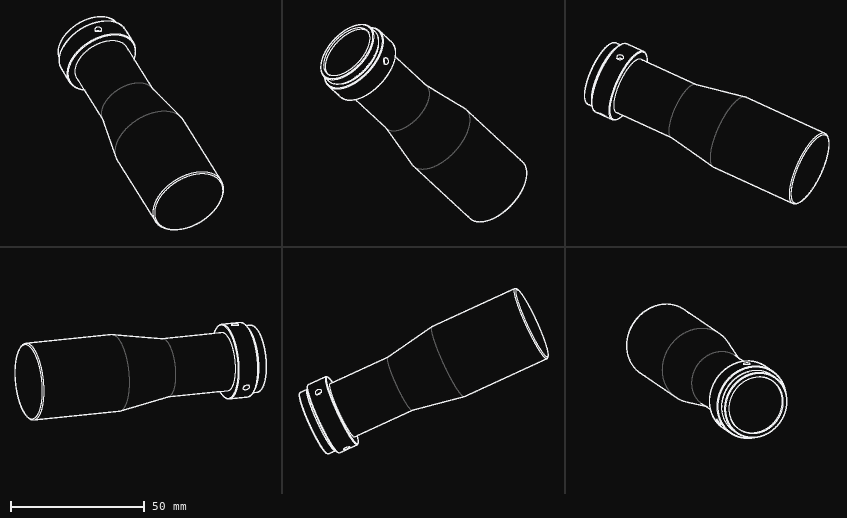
import cadquery as cq

overall_length = 90.89
flange_length = 3.2
collar_start = 4.0
collar_length = 8.0
collar_end = collar_start + collar_length
taper_start = 36.0
taper_end = 56.0

flange_diameter = 25.4
core_diameter = 24.2
collar_diameter = 28.2
neck_diameter = 22.0
barrel_diameter = 29.0

flange_chamfer = 0.3
collar_chamfer = 0.3
barrel_chamfer = 0.5
neck_setback = 1.0

screw_count = 3
screw_hole_diameter = 2.5
screw_x = collar_start + collar_length / 2
first_screw_angle = -1.7


def cylinder(start, end, diameter):
    """Solid cylinder on the X axis between two positions."""
    return cq.Workplane("YZ", origin=(start, 0, 0)).circle(diameter / 2).extrude(end - start)


def make_flange():
    """Thin mounting flange, chamfered on its open face."""
    return cylinder(0, flange_length, flange_diameter).faces("<X").chamfer(flange_chamfer)


def make_core():
    """Core exposed in the groove behind the flange and hidden under the collar."""
    return cylinder(flange_length, collar_end, core_diameter)


def make_screw_hole(angle):
    """Radial hole from the X axis outwards, turned about X from the +Z direction."""
    hole = (
        cq.Workplane("XY", origin=(screw_x, 0, 0))
        .circle(screw_hole_diameter / 2)
        .extrude(collar_diameter)
    )
    return hole.rotate((0, 0, 0), (1, 0, 0), angle)


def make_collar():
    """Chamfered collar with evenly spaced set-screw holes."""
    collar = cylinder(collar_start, collar_end, collar_diameter)
    collar = collar.faces("<X or >X").chamfer(collar_chamfer)
    for index in range(screw_count):
        collar = collar.cut(make_screw_hole(first_screw_angle + index * 360 / screw_count))
    return collar


def make_body():
    """Slim neck that tapers out to the wide barrel."""
    neck_radius = neck_diameter / 2
    barrel_radius = barrel_diameter / 2
    profile = [
        (neck_setback, 0),
        (neck_setback, neck_radius),
        (taper_start, neck_radius),
        (taper_end, barrel_radius),
        (overall_length - barrel_chamfer, barrel_radius),
        (overall_length, barrel_radius - barrel_chamfer),
        (overall_length, 0),
    ]
    return cq.Workplane("XY").polyline(profile).close().revolve(360, (0, 0, 0), (1, 0, 0))


mounting_ring = make_flange().union(make_collar()).union(make_core())
mounting_ring = mounting_ring.cut(cylinder(0, collar_end, neck_diameter))
result = mounting_ring.union(make_body())